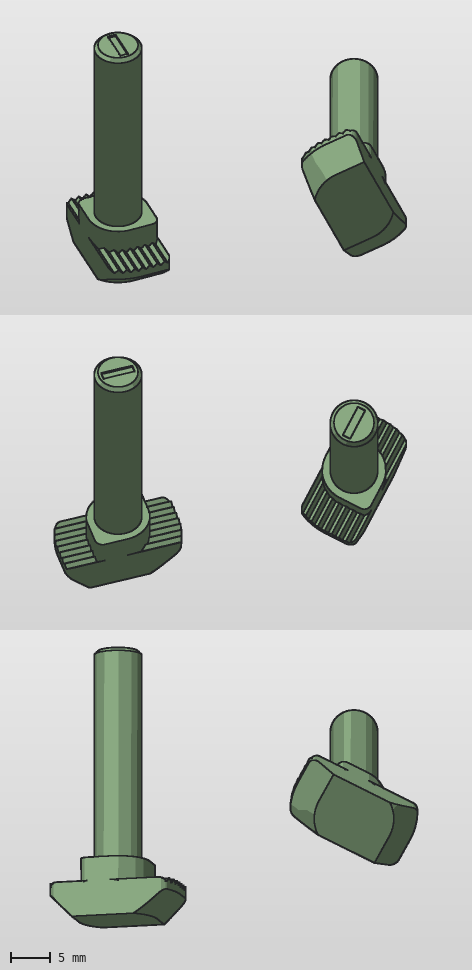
import cadquery as cq
import math

total_height = 34.5
head_length = 16.0
head_width = 8.0
head_height = 4.5
head_bevel = 3.0
collar_height = 3.0
shank_diameter = 6.0
shank_chamfer = 0.5
corner_radius = 1.0
tooth_count = 8
slot_length = 4.1
slot_width = 1.05
slot_depth = 0.28

head_radius = head_length / 2
half_width = head_width / 2
shank_radius = shank_diameter / 2
collar_top = head_height + collar_height
tooth_pitch = head_width / tooth_count
tooth_depth = tooth_pitch / 2


def on_circle(center, radius, angle):
    return (center[0] + radius * math.cos(angle), center[1] + radius * math.sin(angle))


def head_plan():
    """Half-turn symmetric outline: two square corners and two swept corners, all rounded."""
    r = corner_radius
    square_center = (head_radius - r, half_width - r)
    swept_y = -(half_width - r)
    swept_center = (math.sqrt((head_radius - r) ** 2 - swept_y ** 2), swept_y)
    tangent_angle = math.atan2(swept_center[1], swept_center[0])
    round_middle = (tangent_angle - math.pi / 2) / 2

    plan = cq.Workplane("XY").moveTo(-square_center[0], -half_width)
    for turn in (1, -1):
        def turned(point):
            return (turn * point[0], turn * point[1])

        plan = (
            plan.lineTo(*turned((swept_center[0], -half_width)))
            .threePointArc(
                turned(on_circle(swept_center, r, round_middle)),
                turned(on_circle((0, 0), head_radius, tangent_angle)),
            )
            .threePointArc(
                turned(on_circle((0, 0), head_radius, tangent_angle / 2)),
                turned((head_radius, 0)),
            )
            .lineTo(*turned((head_radius, square_center[1])))
            .threePointArc(
                turned(on_circle(square_center, r, math.pi / 4)),
                turned((square_center[0], half_width)),
            )
        )
    return plan.close().extrude(head_height)


def bevel_envelope():
    """Conical underside below the swept corners, flat bevels below the square corners."""
    half_profile = [
        (0, 0),
        (head_radius - head_bevel, 0),
        (head_radius, head_bevel),
        (head_radius, head_height),
        (0, head_height),
    ]
    envelope = cq.Workplane("XZ").polyline(half_profile).close().revolve(360, (0, 0), (0, 1))
    flat_side = cq.Workplane("XZ").polyline(half_profile).close().extrude(-half_width)
    return envelope.union(flat_side).union(flat_side.rotate((0, 0, 0), (0, 0, 1), 180))


def serrations():
    """V grooves along X, with crests level with the top of the head."""
    cutter = cq.Workplane("YZ")
    for index in range(tooth_count):
        start = -half_width + index * tooth_pitch
        cutter = cutter.polyline(
            [
                (start, head_height),
                (start + tooth_pitch / 2, head_height - tooth_depth),
                (start + tooth_pitch, head_height),
            ]
        ).close()
    return cutter.extrude(head_radius, both=True)


def collar():
    """Round neck with two opposite rounded square corners, running down through the head."""
    neck = cq.Workplane("XY").circle(half_width).extrude(collar_top)
    for side in (1, -1):
        corner = (
            cq.Workplane("XY")
            .center(side * half_width / 2, side * half_width / 2)
            .rect(half_width, half_width)
            .extrude(collar_top)
            .edges("|Z and >X and >Y" if side > 0 else "|Z and <X and <Y")
            .fillet(corner_radius)
        )
        neck = neck.union(corner)
    return neck


def shank():
    """Plain round shank with a chamfered end and a screwdriver slot."""
    body = (
        cq.Workplane("XY", origin=(0, 0, collar_top))
        .circle(shank_radius)
        .extrude(total_height - collar_top)
        .faces(">Z")
        .chamfer(shank_chamfer)
    )
    slot = (
        cq.Workplane("XY", origin=(0, 0, total_height))
        .rect(slot_length, slot_width)
        .extrude(-slot_depth)
    )
    return body.cut(slot)


head = head_plan().intersect(bevel_envelope()).cut(serrations())
neck = collar().intersect(
    cq.Workplane("XY", origin=(0, 0, head_bevel))
    .rect(head_width, head_width)
    .extrude(collar_top - head_bevel)
)
result = head.union(neck).union(shank())